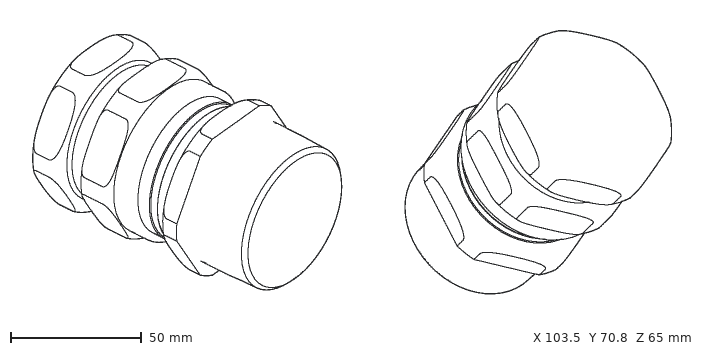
import cadquery as cq

ACROSS_FLATS = 65.0
CORNER_RADIUS = 35.385

CAP_HEX_LENGTH = 14.0
CAP_ROUNDING = 4.0
NECK_RADIUS = 55.5 / 2
NECK_FLARE = 1.4

MIDDLE_START = 24.7
MIDDLE_HEX_LENGTH = 15.1
MIDDLE_ROUNDING = 3.0
MIDDLE_HEX_END = MIDDLE_START + MIDDLE_HEX_LENGTH
COLLAR_RADIUS = 64.0 / 2
COLLAR_END = 49.15
COLLAR_EDGE_ROUNDING = 0.3

SLEEVE_RADIUS = 57.44 / 2
RING_RADIUS = 56.44 / 2
RING_START = 55.15
RING_END = 58.5
GROOVE_BEVEL = 0.3

SHOULDER_START_RADIUS = 57.2 / 2
SHOULDER_END_RADIUS = 28.0
SHOULDER_FILLET = 1.7
ENTRY_HEX_START = 65.0
ENTRY_HEX_LENGTH = 9.0
ENTRY_ROUNDING = 4.0
ENTRY_HEX_END = ENTRY_HEX_START + ENTRY_HEX_LENGTH
SHANK_RADIUS = 60.33 / 2
SHANK_FILLET = 0.25
SHANK_END = 88.8
TOTAL_LENGTH = 103.53
TAPER_SLOPE = 1 / 32
TIP_CHAMFER = 1.8


def disc(start, end, radius):
    """Solid cylinder along X."""
    return cq.Workplane("YZ", origin=(start, 0, 0)).circle(radius).extrude(end - start)


def hexagon(start, length, rounding, round_both_ends):
    """Hexagon with two flats facing +Z and -Z, trimmed by a cylinder with rounded ends."""
    across_corners = ACROSS_FLATS / (3 ** 0.5 / 2)
    prism = cq.Workplane("YZ", origin=(start, 0, 0)).polygon(6, across_corners).extrude(length)
    envelope = disc(start, start + length, CORNER_RADIUS)
    rounded_ends = "%CIRCLE" if round_both_ends else "<X"
    return prism.intersect(envelope.edges(rounded_ends).fillet(rounding))


def revolve_about_x(outline):
    """Close a half profile that starts and ends on the X axis and turn it into a solid."""
    return outline.close().revolve(360, (0, 0, 0), (1, 0, 0))


def make_cap_nut():
    flare_end = CAP_HEX_LENGTH + NECK_FLARE
    neck = revolve_about_x(
        cq.Workplane("XY")
        .moveTo(CAP_HEX_LENGTH, 0)
        .lineTo(CAP_HEX_LENGTH, NECK_RADIUS + NECK_FLARE)
        .lineTo(flare_end, NECK_RADIUS)
        .lineTo(MIDDLE_START, NECK_RADIUS)
        .lineTo(MIDDLE_START, 0)
    )
    return hexagon(0, CAP_HEX_LENGTH, CAP_ROUNDING, True).union(neck)


def make_middle_nut():
    collar = disc(MIDDLE_HEX_END, COLLAR_END, COLLAR_RADIUS)
    collar = collar.faces(">X").edges().fillet(COLLAR_EDGE_ROUNDING)
    return hexagon(MIDDLE_START, MIDDLE_HEX_LENGTH, MIDDLE_ROUNDING, True).union(collar)


def make_sleeve():
    return revolve_about_x(
        cq.Workplane("XY")
        .moveTo(COLLAR_END, 0)
        .lineTo(COLLAR_END, SLEEVE_RADIUS)
        .lineTo(RING_START - GROOVE_BEVEL, SLEEVE_RADIUS)
        .lineTo(RING_START, RING_RADIUS)
        .lineTo(RING_START, 0)
    )


def make_entry_body():
    shoulder = revolve_about_x(
        cq.Workplane("XY")
        .moveTo(RING_END, 0)
        .lineTo(RING_END, RING_RADIUS)
        .lineTo(RING_END + GROOVE_BEVEL, SHOULDER_START_RADIUS)
        .lineTo(ENTRY_HEX_START - SHOULDER_FILLET, SHOULDER_END_RADIUS)
        .radiusArc((ENTRY_HEX_START, SHOULDER_END_RADIUS + SHOULDER_FILLET), -SHOULDER_FILLET)
        .lineTo(ENTRY_HEX_START, 0)
    )
    tip_start = TOTAL_LENGTH - TIP_CHAMFER
    tip_radius = SHANK_RADIUS - TAPER_SLOPE * (tip_start - SHANK_END)
    shank = revolve_about_x(
        cq.Workplane("XY")
        .moveTo(ENTRY_HEX_END, 0)
        .lineTo(ENTRY_HEX_END, SHANK_RADIUS + SHANK_FILLET)
        .radiusArc((ENTRY_HEX_END + SHANK_FILLET, SHANK_RADIUS), -SHANK_FILLET)
        .lineTo(SHANK_END, SHANK_RADIUS)
        .lineTo(tip_start, tip_radius)
        .lineTo(TOTAL_LENGTH, tip_radius - TIP_CHAMFER)
        .lineTo(TOTAL_LENGTH, 0)
    )
    hexagonal_part = hexagon(ENTRY_HEX_START, ENTRY_HEX_LENGTH, ENTRY_ROUNDING, False)
    return hexagonal_part.union(shoulder).union(shank)


cap_nut = make_cap_nut()
middle_nut = make_middle_nut()
sleeve = make_sleeve()
seal_ring = disc(RING_START, RING_END, RING_RADIUS)
entry_body = make_entry_body()

result = cq.Compound.makeCompound(
    [cap_nut.val(), middle_nut.val(), sleeve.val(), seal_ring.val(), entry_body.val()]
)